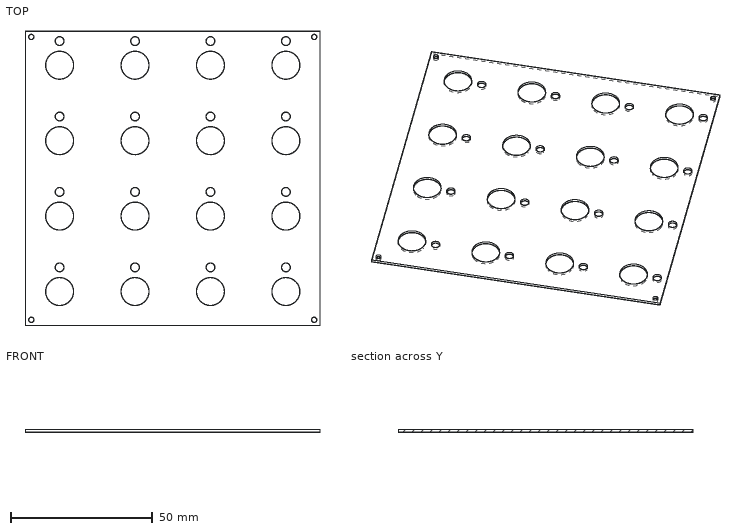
import cadquery as cq

side = 104.4
thickness = 1.0

grid_count = 4
grid_pitch = 26.7
large_diameter = 9.8
small_diameter = 3.0
small_offset = 8.6

corners_per_side = 2
corner_diameter = 1.8
corner_inset = 2.1
corner_spacing = side - 2 * corner_inset


def drill_grid(plate, count, pitch, diameter, shift_y=0.0):
    """Drill a square, centred grid of through holes, shifted along Y."""
    return (
        plate.faces(">Z")
        .workplane(origin=(0, shift_y, thickness))
        .rarray(pitch, pitch, count, count)
        .hole(diameter)
    )


result = cq.Workplane("XY").box(side, side, thickness, centered=(True, True, False))
result = drill_grid(result, grid_count, grid_pitch, large_diameter)
result = drill_grid(result, grid_count, grid_pitch, small_diameter, small_offset)
result = drill_grid(result, corners_per_side, corner_spacing, corner_diameter)